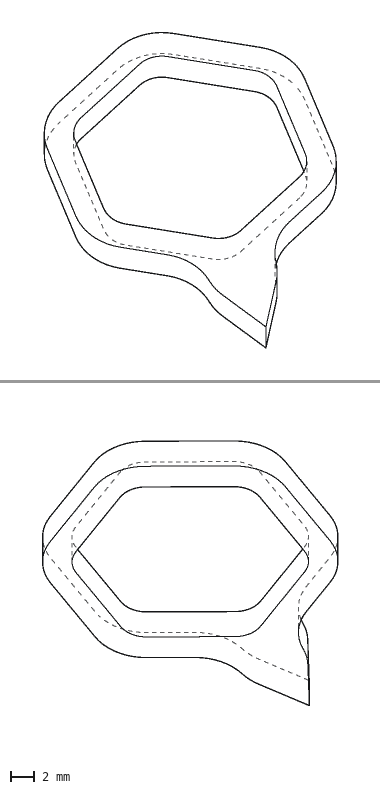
import cadquery as cq
import math

thickness = 3.0
side_count = 6
half_sector = math.pi / side_count
hole_across_flats = 18.0
wall = 2.5
hole_corner_radius = 2.5

tip_x = 20.0
tip_half_angle = math.radians(28.8)
flank_length = 5.0
shoulder_radius = 5.0
root_radius = 5.0

outer_across_flats = hole_across_flats + 2 * wall
outer_corner_radius = hole_corner_radius + wall


def rounded_hexagon(across_flats, corner_radius):
    """Hexagonal prism with rounded upright edges and corners on the X axis."""
    across_corners = across_flats / math.cos(half_sector)
    prism = cq.Workplane("XY").polygon(side_count, across_corners).extrude(thickness)
    return prism.edges("|Z").fillet(corner_radius)


def along(start, direction, distance):
    """Point at a distance from start along a unit direction."""
    return (start[0] + distance * direction[0], start[1] + distance * direction[1])


def toward(start, end):
    """Unit direction from start to end."""
    length = math.dist(start, end)
    return ((end[0] - start[0]) / length, (end[1] - start[1]) / length)


def mirrored(point):
    """Point reflected in the X axis."""
    return (point[0], -point[1])


def arc_middle(center, start, end, radius):
    """Point halfway along the short arc from start to end."""
    chord_middle = ((start[0] + end[0]) / 2, (start[1] + end[1]) / 2)
    return along(center, toward(center, chord_middle), radius)


def pointer():
    """Tapered tip blended into the two ring sides beside the +X corner."""
    tip = (tip_x, 0)
    flank_direction = (-math.cos(tip_half_angle), math.sin(tip_half_angle))
    flank_normal = (math.sin(tip_half_angle), math.cos(tip_half_angle))
    flank_end = along(tip, flank_direction, flank_length)
    shoulder_center = along(flank_end, flank_normal, -shoulder_radius)

    side_normal = (math.cos(half_sector), math.sin(half_sector))
    side_direction = (-side_normal[1], side_normal[0])
    shoulder_offset = shoulder_center[0] * side_normal[0] + shoulder_center[1] * side_normal[1]
    rise = outer_across_flats / 2 + root_radius - shoulder_offset
    run = math.sqrt((shoulder_radius + root_radius) ** 2 - rise**2)
    root_center = along(along(shoulder_center, side_normal, rise), side_direction, run)
    root_start = along(root_center, side_normal, -root_radius)
    root_end = along(root_center, toward(root_center, shoulder_center), root_radius)

    shoulder_middle = arc_middle(shoulder_center, flank_end, root_end, shoulder_radius)
    root_middle = arc_middle(root_center, root_end, root_start, root_radius)

    return (
        cq.Workplane("XY")
        .moveTo(0, 0)
        .lineTo(*mirrored(root_start))
        .threePointArc(mirrored(root_middle), mirrored(root_end))
        .threePointArc(mirrored(shoulder_middle), mirrored(flank_end))
        .lineTo(*tip)
        .lineTo(*flank_end)
        .threePointArc(shoulder_middle, root_end)
        .threePointArc(root_middle, root_start)
        .close()
        .extrude(thickness)
    )


body = rounded_hexagon(outer_across_flats, outer_corner_radius).union(pointer())
hole = rounded_hexagon(hole_across_flats, hole_corner_radius)
result = body.cut(hole)